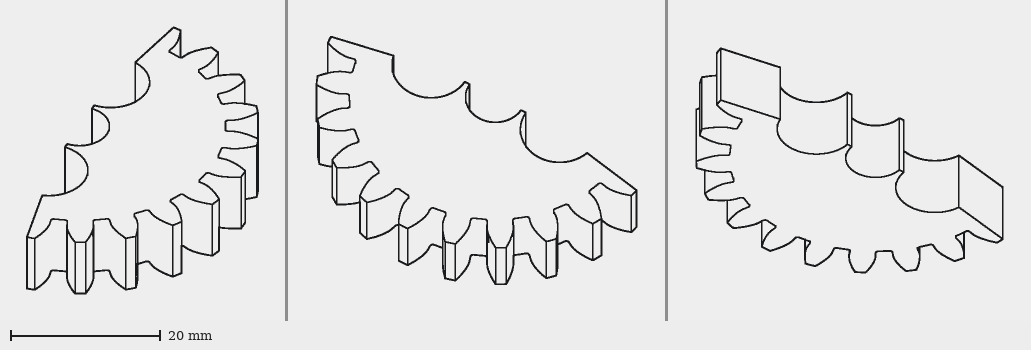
import cadquery as cq
import math

tooth_count = 22
module = 2.0
pressure_angle = math.radians(20)
thickness = 9.0
pitch_radius = module * tooth_count / 2
base_radius = pitch_radius * math.cos(pressure_angle)
tip_radius = pitch_radius + module
dedendum_factor = 1.25
root_radius = pitch_radius - dedendum_factor * module
root_fillet = 0.4
tooth_pitch = 2 * math.pi / tooth_count
flank_points = 6

bore_radius = 4.0
side_hole_radius = 5.25
side_hole_offset = 10.0
segment_half_length = 23.8
end_cut_tilt = math.radians(11)


def polar(radius, angle):
    return (radius * math.cos(angle), radius * math.sin(angle))


def involute(angle):
    return math.tan(angle) - angle


def tooth_half_angle(radius):
    """Half of the angle a tooth spans at a radius on its involute flank."""
    flank_angle = math.acos(min(1.0, base_radius / radius))
    return tooth_pitch / 4 + involute(pressure_angle) - involute(flank_angle)


def make_gear():
    step = (tip_radius - base_radius) / (flank_points - 1)
    flank_radii = [base_radius + i * step for i in range(flank_points)]
    base_half_angle = tooth_half_angle(base_radius)
    gap_half_angle = tooth_pitch / 2 - base_half_angle
    outline = cq.Workplane("XY").moveTo(*polar(root_radius, -base_half_angle))
    for tooth in range(tooth_count):
        center = tooth * tooth_pitch
        rising = [polar(r, center - tooth_half_angle(r)) for r in flank_radii]
        falling = [polar(r, center + tooth_half_angle(r)) for r in reversed(flank_radii)]
        gap_center = center + tooth_pitch / 2
        outline = (
            outline.lineTo(*rising[0])
            .spline(rising[1:], includeCurrent=True)
            .threePointArc(polar(tip_radius, center), falling[0])
            .spline(falling[1:], includeCurrent=True)
            .lineTo(*polar(root_radius, center + base_half_angle))
            .threePointArc(polar(root_radius, gap_center), polar(root_radius, gap_center + gap_half_angle))
        )
    gear = outline.close().extrude(thickness)

    corner_limit = (root_radius + base_radius) / 2
    root_corners = [
        edge for edge in gear.edges("|Z").vals()
        if math.hypot(edge.Center().x, edge.Center().y) < corner_limit
    ]
    return gear.newObject(root_corners).fillet(root_fillet)


def make_segment_envelope():
    """Region right of the Y axis, trimmed by a slanted line at each end."""
    end_x = math.sqrt(tip_radius**2 - segment_half_length**2)
    cut_start_y = segment_half_length - end_x / math.tan(end_cut_tilt)
    corners = [
        (0, -cut_start_y),
        (end_x, -segment_half_length),
        (2 * tip_radius, -segment_half_length),
        (2 * tip_radius, segment_half_length),
        (end_x, segment_half_length),
        (0, cut_start_y),
    ]
    return cq.Workplane("XY").polyline(corners).close().extrude(thickness)


def make_holes():
    bore = cq.Workplane("XY").circle(bore_radius).extrude(thickness)
    side_centers = [(0, -side_hole_offset), (0, side_hole_offset)]
    side_holes = cq.Workplane("XY").pushPoints(side_centers).circle(side_hole_radius).extrude(thickness)
    return bore.union(side_holes)


result = make_gear().intersect(make_segment_envelope()).cut(make_holes())